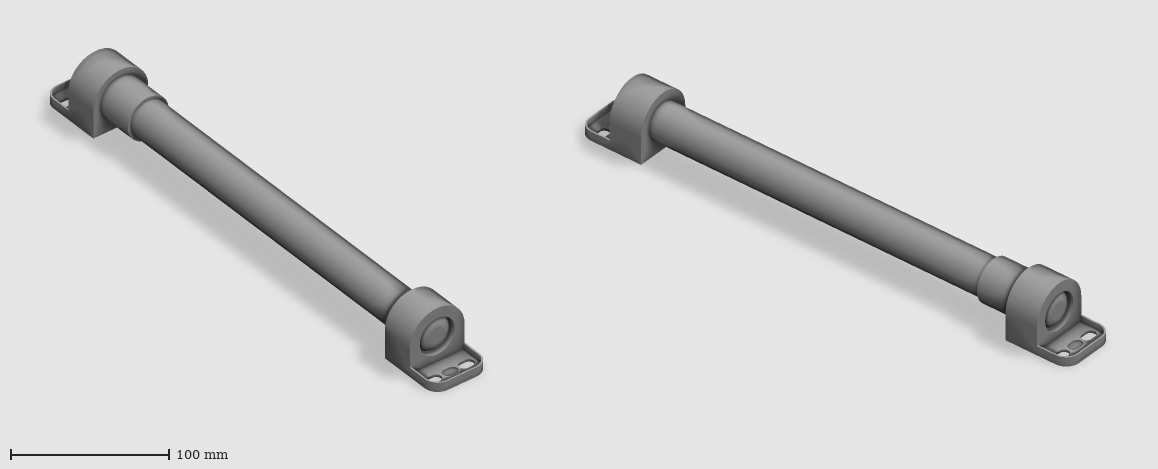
import cadquery as cq

length = 400.0
width = 44.0
height = 44.0
axis_height = height / 2

block_length = 25.5
foot_length = 25.5
foot_thickness = 7.0
foot_corner_radius = 10.5
bracket_length = foot_length + block_length

rim = 1.0
tray_floor = 2.0

slot_width = 7.5
slot_length = 11.5
slot_pitch = 13.0
slot_x = 12.5
blind_slot_floor = 1.0

rod_diameter = 28.0
rod_end_setback = 1.0
rod_end_flat_diameter = 12.5
rod_end_rounding = (rod_diameter - rod_end_flat_diameter) / 2
sleeve_diameter = 33.0
sleeve_length = 28.0


def x_cylinder(start, end, diameter):
    """Cylinder on the rod axis between two X positions."""
    section = cq.Workplane("YZ", origin=(start, 0, axis_height)).circle(diameter / 2)
    return section.extrude(end - start)


def foot_plate():
    """Foot with rounded outer corners, reaching under the block."""
    plate = cq.Workplane("XY").box(bracket_length, width, foot_thickness, centered=(False, True, False))
    return plate.edges("|Z and <X").fillet(foot_corner_radius)


def tray():
    """Volume removed from the foot, ending flush at the block face."""
    tray_length = foot_length - rim
    pocket = (
        cq.Workplane("XY", origin=(rim, 0, tray_floor))
        .box(tray_length, width - 2 * rim, foot_thickness - tray_floor, centered=(False, True, False))
    )
    return pocket.edges("|Z and <X").fillet(foot_corner_radius - rim)


def slot(y, bottom):
    """Round-ended slot cutter from a bottom height up to the foot top."""
    outline = cq.Workplane("XY", origin=(slot_x, y, bottom)).slot2D(slot_length, slot_width, 90)
    return outline.extrude(foot_thickness - bottom)


def arched_block():
    """Upright block with a half-round top and a bore for the rod."""
    half_width = width / 2
    block = (
        cq.Workplane("YZ", origin=(foot_length, 0, 0))
        .moveTo(-half_width, 0)
        .lineTo(half_width, 0)
        .lineTo(half_width, axis_height)
        .threePointArc((0, height), (-half_width, axis_height))
        .close()
        .extrude(block_length)
    )
    return block.cut(x_cylinder(foot_length, bracket_length, rod_diameter))


def bracket():
    """Left end bracket."""
    foot = foot_plate().cut(tray())
    for y, bottom in ((-slot_pitch, 0), (0, blind_slot_floor), (slot_pitch, 0)):
        foot = foot.cut(slot(y, bottom))
    return foot.union(arched_block())


def rod():
    """Rod with rounded ends set just inside the outer block faces."""
    rod_start = foot_length + rod_end_setback
    return x_cylinder(rod_start, length - rod_start, rod_diameter).edges("%CIRCLE").fillet(rod_end_rounding)


left_bracket = bracket()
right_bracket = left_bracket.mirror("YZ").translate((length, 0, 0))
sleeve = x_cylinder(bracket_length, bracket_length + sleeve_length, sleeve_diameter)

result = left_bracket.union(right_bracket).union(sleeve).union(rod())
result = result.translate((-length / 2, 0, 0))